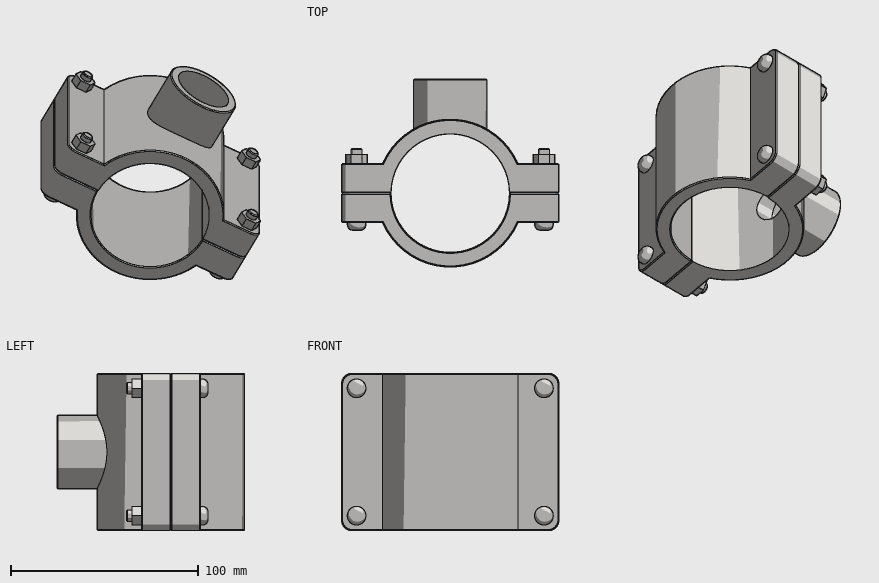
import cadquery as cq
import math

LENGTH = 84.0
FLANGE_SPAN = 116.0
FLANGE_THICKNESS = 15.8
FLANGE_CORNER_RADIUS = 5.6
RING_RADIUS = 39.4
BORE_RADIUS = 31.5
EDGE_CHAMFER = 0.6

OVERALL_DEPTH = 100.3
BOSS_REACH = OVERALL_DEPTH - RING_RADIUS
BOSS_DIAMETER = 39.3
OUTLET_DIAMETER = 25.0
SOCKET_DIAMETER = 30.3
SOCKET_DEPTH = BOSS_REACH - RING_RADIUS

BOLT_X = 50.0
BOLT_Z = 34.0
BOLT_DIAMETER = 6.0
BOLT_TIP_CHAMFER = 0.6
BOLT_PROTRUSION = 3.0
HEAD_DIAMETER = 10.0
HEAD_FLAT_DIAMETER = 4.0
HEAD_RIM_HEIGHT = 1.0
HEAD_ROUND_RADIUS = (HEAD_DIAMETER - HEAD_FLAT_DIAMETER) / 2
HEAD_HEIGHT = HEAD_RIM_HEIGHT + HEAD_ROUND_RADIUS
NUT_CORNER_DIAMETER = 11.6
NUT_HEIGHT = 5.0


def cylinder_y(diameter, start_y, end_y):
    """Cylinder along +Y, centred on the Y axis."""
    plane = cq.Workplane("XZ", origin=(0, start_y, 0))
    return plane.circle(diameter / 2).extrude(start_y - end_y)


def cylinder_z(radius):
    """Full-length cylinder along Z, centred on the bore axis."""
    return cq.Workplane("XY", origin=(0, 0, -LENGTH / 2)).circle(radius).extrude(LENGTH)


def half_shell():
    """Half ring with flanges on the +Y side of the split, chamfered but not yet bored."""
    flange = (
        cq.Workplane("XY")
        .box(FLANGE_SPAN, FLANGE_THICKNESS, LENGTH, centered=(True, False, True))
        .edges("|Y")
        .fillet(FLANGE_CORNER_RADIUS)
        .faces("<Y or >Y")
        .edges()
        .chamfer(EDGE_CHAMFER)
    )
    positive_side = cq.Workplane("XY").box(
        FLANGE_SPAN, FLANGE_SPAN, LENGTH, centered=(True, False, True)
    )
    half_ring = cylinder_z(RING_RADIUS).intersect(positive_side).edges().chamfer(EDGE_CHAMFER)
    return flange.union(half_ring)


def outlet_shell():
    """The +Y shell: plain bore, with a boss and a stepped outlet opening into the bore."""
    boss = cylinder_y(BOSS_DIAMETER, 0, BOSS_REACH).faces(">Y").edges().chamfer(EDGE_CHAMFER)
    return (
        half_shell()
        .union(boss)
        .cut(cylinder_z(BORE_RADIUS))
        .cut(cylinder_y(OUTLET_DIAMETER, 0, BOSS_REACH))
        .cut(cylinder_y(SOCKET_DIAMETER, BOSS_REACH - SOCKET_DEPTH, BOSS_REACH))
    )


def cap_shell():
    """The -Y shell, with the edges of its bore chamfered as well."""
    bored = half_shell().mirror("XZ").cut(cylinder_z(BORE_RADIUS))
    arc_centroid = 2 * BORE_RADIUS / math.pi
    around_bore = cq.selectors.BoxSelector(
        (-BORE_RADIUS - EDGE_CHAMFER, -arc_centroid - EDGE_CHAMFER, -LENGTH),
        (BORE_RADIUS + EDGE_CHAMFER, EDGE_CHAMFER, LENGTH),
    )
    return bored.edges(around_bore).chamfer(EDGE_CHAMFER)


def bolt():
    """Round-headed bolt with its nut, on the Y axis."""
    nut_end = FLANGE_THICKNESS + NUT_HEIGHT
    shank = (
        cylinder_y(BOLT_DIAMETER, -FLANGE_THICKNESS, nut_end + BOLT_PROTRUSION)
        .faces(">Y")
        .edges()
        .chamfer(BOLT_TIP_CHAMFER)
    )
    head = (
        cylinder_y(HEAD_DIAMETER, -FLANGE_THICKNESS - HEAD_HEIGHT, -FLANGE_THICKNESS)
        .faces("<Y")
        .edges()
        .fillet(HEAD_ROUND_RADIUS)
    )
    nut = (
        cq.Workplane("XZ", origin=(0, FLANGE_THICKNESS, 0))
        .polygon(6, NUT_CORNER_DIAMETER)
        .extrude(-NUT_HEIGHT)
    )
    return shank.union(head).union(nut)


result = outlet_shell().union(cap_shell())
for x in (-BOLT_X, BOLT_X):
    for z in (-BOLT_Z, BOLT_Z):
        result = result.union(bolt().translate((x, 0, z)))